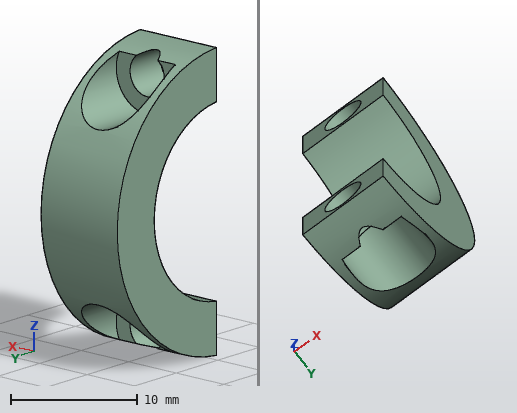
import cadquery as cq

width = 8.05
height = 25.35
depth = 11.95
inner_radius = 8.25

outer_radius = (depth**2 + (height / 2)**2) / (2 * depth)
split_y = outer_radius - depth

screw_offset = 10.47
screw_hole_diameter = 3.6
head_diameter = 6.52
head_seat_depth = 3.75


def half_ring():
    """Ring with everything below the split plane cut away."""
    ring = (
        cq.Workplane("YZ")
        .circle(outer_radius)
        .circle(inner_radius)
        .extrude(width / 2, both=True)
    )
    kept_side = cq.Workplane("XY").box(
        width, depth, height, centered=(True, False, True)
    ).translate((0, split_y, 0))
    return ring.intersect(kept_side)


def y_cylinder(diameter, start_y, z):
    """Cylinder along +Y from start_y to the crown of the ring."""
    return cq.Workplane("XY").add(
        cq.Solid.makeCylinder(
            diameter / 2,
            outer_radius - start_y,
            cq.Vector(0, start_y, z),
            cq.Vector(0, 1, 0),
        )
    )


result = half_ring()
for screw_z in (-screw_offset, screw_offset):
    result = result.cut(y_cylinder(screw_hole_diameter, split_y, screw_z))
    result = result.cut(y_cylinder(head_diameter, split_y + head_seat_depth, screw_z))